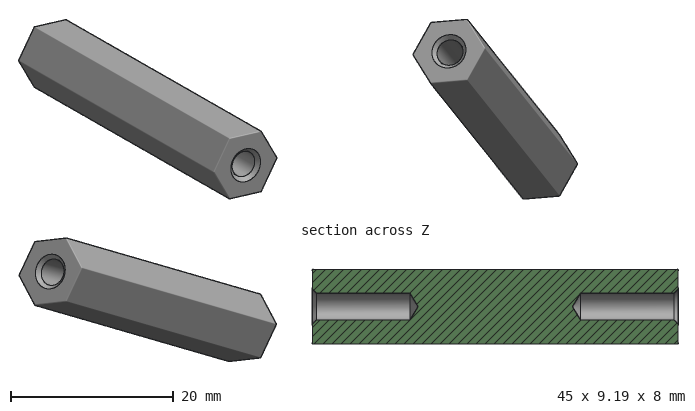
import cadquery as cq
import math

length = 45.0
across_flats = 8.0
across_corners = across_flats / math.cos(math.pi / 6)
edge_radius = 0.15

bore_diameter = 3.3
mouth_diameter = 4.3
bore_depth = 12.0
drill_tip_angle = 118.0

bore_radius = bore_diameter / 2
mouth_radius = mouth_diameter / 2
countersink_depth = mouth_radius - bore_radius
tip_depth = bore_radius / math.tan(math.radians(drill_tip_angle / 2))


def hex_bar():
    """Bar centred on the origin, flats facing +Z and -Z, all outer edges lightly rounded."""
    bar = cq.Workplane("YZ").polygon(6, across_corners).extrude(length / 2, both=True)
    return bar.edges().fillet(edge_radius)


def blind_hole():
    """Countersunk hole with a conical bottom, entering the -X end along X."""
    mouth_x = -length / 2
    bore_end_x = mouth_x + bore_depth
    return (
        cq.Workplane("XY")
        .moveTo(mouth_x, 0)
        .lineTo(mouth_x, mouth_radius)
        .lineTo(mouth_x + countersink_depth, bore_radius)
        .lineTo(bore_end_x, bore_radius)
        .lineTo(bore_end_x + tip_depth, 0)
        .close()
        .revolve(360, (0, 0, 0), (1, 0, 0))
    )


near_hole = blind_hole()
far_hole = near_hole.mirror("YZ")
result = hex_bar().cut(near_hole).cut(far_hole)